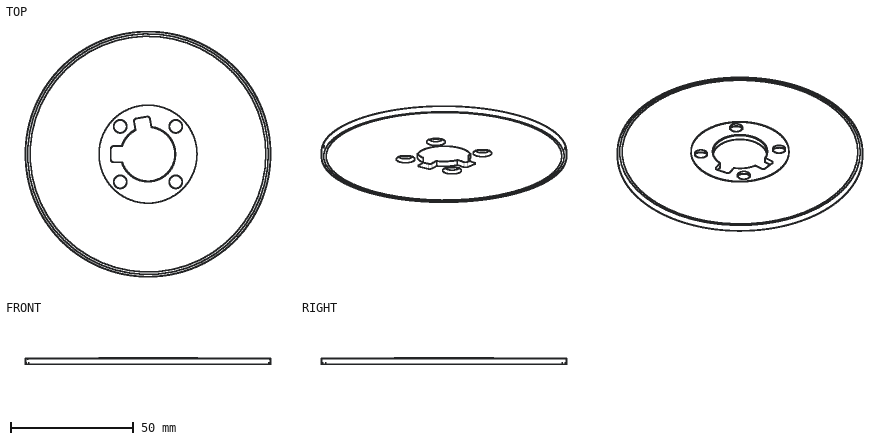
import cadquery as cq

outer_radius = 50.0
total_height = 2.6

disc_radius = 98.1 / 2
hub_radius = 40.0 / 2
hub_rise = 0.3
disc_bottom = 0.3
disc_top = total_height - hub_rise

lip_overlap = 1.0
lip_rise = 0.15
rim_round = 0.3
lip_radius = disc_radius - lip_overlap

bore_radius = 11.0
bore_chamfer = 0.25
notch_width = 6.5
notch_reach = 15.1
notch_corner = 1.0
notch_angles = (100.0, 180.0)

hole_diameter = 5.2
countersink_depth = 1.2
hole_circle_radius = 16.0
hole_count = 4
first_hole_angle = 45.0


def make_notch(angle):
    """A radial slot from the axis out to the notch end, with rounded outer corners."""
    return (
        cq.Workplane("XY")
        .center(notch_reach / 2, 0)
        .rect(notch_reach, notch_width)
        .extrude(total_height)
        .edges("|Z and >X")
        .fillet(notch_corner)
        .rotate((0, 0, 0), (0, 0, 1), angle)
    )


def make_mounting_holes():
    """The ring of through holes, each countersunk from below."""
    hole_radius = hole_diameter / 2
    cone = cq.Solid.makeCone(
        hole_radius + countersink_depth,
        hole_radius,
        countersink_depth,
        pnt=cq.Vector(0, 0, disc_bottom),
    )
    hole = cq.Workplane("XY").circle(hole_radius).extrude(total_height).union(cq.Workplane(cone)).val()
    return (
        cq.Workplane("XY")
        .polarArray(hole_circle_radius, first_hole_angle, 360, hole_count)
        .eachpoint(lambda place: hole.moved(place), combine=False)
    )


def make_disc():
    """The flat disc with its raised hub, chamfered bore, notches and mounting holes."""
    thickness = disc_top - disc_bottom
    disc = cq.Workplane("XY").workplane(offset=disc_bottom).circle(disc_radius).extrude(thickness)
    hub = cq.Workplane("XY").workplane(offset=disc_top).circle(hub_radius).extrude(hub_rise)
    bore = cq.Workplane("XY").circle(bore_radius).extrude(total_height)
    bore_edge = cq.Solid.makeCone(
        bore_radius,
        bore_radius + bore_chamfer,
        bore_chamfer,
        pnt=cq.Vector(0, 0, total_height - bore_chamfer),
    )
    disc = disc.union(hub).cut(bore).cut(cq.Workplane(bore_edge)).cut(make_mounting_holes())
    for angle in notch_angles:
        disc = disc.cut(make_notch(angle))
    return disc


def make_rim():
    """The band around the disc edge: one smooth curve outside, fitted to the disc inside."""
    rim_top = disc_top + lip_rise
    crown_radius = outer_radius - rim_round
    lip_run = crown_radius - lip_radius
    outside = [
        (lip_radius, disc_top),
        (crown_radius, rim_top),
        (outer_radius, rim_top - rim_round),
        (outer_radius, rim_round),
        (crown_radius, 0),
        (lip_radius, disc_bottom),
    ]
    directions = [
        (lip_run, lip_rise),
        (1, 0),
        (0, -1),
        (0, -1),
        (-1, 0),
        (-lip_run, disc_bottom),
    ]
    return (
        cq.Workplane("XZ")
        .spline(outside, tangents=directions)
        .lineTo(disc_radius, disc_bottom)
        .lineTo(disc_radius, disc_top)
        .close()
        .revolve(360, (0, 0, 0), (0, 1, 0))
    )


disc = make_disc()
rim = make_rim()
result = cq.Compound.makeCompound([disc.val(), rim.val()])